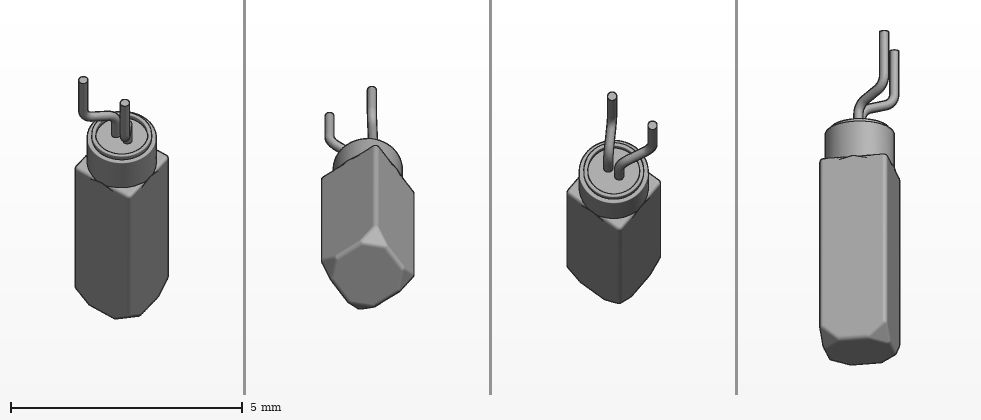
import cadquery as cq
import math

WIDTH = 1.5
HALF_WIDTH = WIDTH / 2
PRISM_HEIGHT = 4.3
EDGE_RADIUS = 0.1
TOP_EDGE_RADIUS = 0.07
CORNER_CUT_RUN = 0.47
CORNER_CUT_RISE = 0.395
RUNOUT_HALF_LENGTH = 0.295

COLLAR_TOP = 5.1
COLLAR_EDGE_RADIUS = 0.015
LIP_TOP = 5.2
LIP_RADIUS = 0.65
LIP_EDGE_RADIUS = 0.015
RECESS_RADIUS = 0.56
RECESS_DEPTH = 0.1
RECESS_FLOOR = LIP_TOP - RECESS_DEPTH

WIRE_DIAMETER = 0.2
WIRE_TOP = 7.2
BEND_START = 5.5
BEND_END = 6.2
BEND_RADIUS = 0.3
WIRE_FOOT_X = 0.15
WIRE_TIP_X = 0.555
WIRE_TIP_Y = -(HALF_WIDTH - WIRE_DIAMETER / 2)


def corner_cutter(side_x, side_y):
    """Tetrahedron that slices one bottom corner off the prism."""
    x = side_x * HALF_WIDTH
    y = side_y * HALF_WIDTH
    corner = cq.Vector(x, y, 0)
    along_x = cq.Vector(x - side_x * CORNER_CUT_RUN, y, 0)
    along_y = cq.Vector(x, y - side_y * CORNER_CUT_RUN, 0)
    up = cq.Vector(x, y, CORNER_CUT_RISE)
    triangles = [
        (corner, along_x, along_y),
        (corner, along_x, up),
        (corner, along_y, up),
        (along_x, along_y, up),
    ]
    faces = [cq.Face.makeFromWires(cq.Wire.makePolygon(t, close=True)) for t in triangles]
    return cq.Workplane(obj=cq.Solid.makeSolid(cq.Shell.makeShell(faces)))


def make_runout(plane):
    """Flat-sided wedge across the prism where the top rounding fades out at mid-side."""
    return (
        cq.Workplane(plane)
        .moveTo(-RUNOUT_HALF_LENGTH, PRISM_HEIGHT - TOP_EDGE_RADIUS)
        .lineTo(RUNOUT_HALF_LENGTH, PRISM_HEIGHT - TOP_EDGE_RADIUS)
        .lineTo(0, PRISM_HEIGHT)
        .close()
        .extrude(HALF_WIDTH, both=True)
    )


def make_prism():
    prism = cq.Workplane("XY").rect(WIDTH, WIDTH).extrude(PRISM_HEIGHT)
    for side_x in (-1, 1):
        for side_y in (-1, 1):
            prism = prism.cut(corner_cutter(side_x, side_y))
    prism = prism.edges("not >Z").fillet(EDGE_RADIUS)
    prism = prism.faces(">Z").edges().fillet(TOP_EDGE_RADIUS)
    for plane in ("XZ", "YZ"):
        prism = prism.union(make_runout(plane))
    return prism


def make_collar():
    """Round collar with a raised lip; it starts below the prism's top rounding."""
    collar_base = PRISM_HEIGHT - TOP_EDGE_RADIUS
    collar = (
        cq.Workplane("XY", origin=(0, 0, collar_base))
        .circle(HALF_WIDTH)
        .extrude(COLLAR_TOP - collar_base)
        .faces(">Z").edges().fillet(COLLAR_EDGE_RADIUS)
    )
    lip = (
        cq.Workplane("XY", origin=(0, 0, COLLAR_TOP))
        .circle(LIP_RADIUS)
        .extrude(LIP_TOP - COLLAR_TOP)
    )
    recess = (
        cq.Workplane("XY", origin=(0, 0, RECESS_FLOOR))
        .circle(RECESS_RADIUS)
        .extrude(RECESS_DEPTH)
    )
    return collar.union(lip).cut(recess).faces(">Z").edges().fillet(LIP_EDGE_RADIUS)


def make_housing():
    return make_prism().union(make_collar())


def make_wire(side):
    """Round wire with an S-bend that leans outward and toward -Y."""
    offset_x = WIRE_TIP_X - WIRE_FOOT_X
    offset = math.hypot(offset_x, WIRE_TIP_Y)
    rise = BEND_END - BEND_START

    center_gap = offset - 2 * BEND_RADIUS
    straight = math.sqrt(center_gap**2 + rise**2 - (2 * BEND_RADIUS) ** 2)
    bend_angle = math.atan2(center_gap, rise) + math.atan2(2 * BEND_RADIUS, straight)

    def on_bend(angle):
        return BEND_RADIUS * (1 - math.cos(angle)), BEND_RADIUS * math.sin(angle)

    mid_out, mid_up = on_bend(bend_angle / 2)
    end_out, end_up = on_bend(bend_angle)

    foot = (side * WIRE_FOOT_X, 0, RECESS_FLOOR)
    lean = cq.Vector(side * offset_x, WIRE_TIP_Y, 0)
    bend_plane = cq.Plane(origin=foot, xDir=lean, normal=lean.cross(cq.Vector(0, 0, 1)))
    low = BEND_START - RECESS_FLOOR
    high = BEND_END - RECESS_FLOOR
    path = (
        cq.Workplane(bend_plane)
        .lineTo(0, low)
        .threePointArc((mid_out, low + mid_up), (end_out, low + end_up))
        .lineTo(offset - end_out, high - end_up)
        .threePointArc((offset - mid_out, high - mid_up), (offset, high))
        .lineTo(offset, WIRE_TOP - RECESS_FLOOR)
    )
    return cq.Workplane("XY", origin=foot).circle(WIRE_DIAMETER / 2).sweep(path)


housing = make_housing()
wires = [make_wire(side) for side in (-1, 1)]

result = cq.Compound.makeCompound([housing.val(), *[wire.val() for wire in wires]])